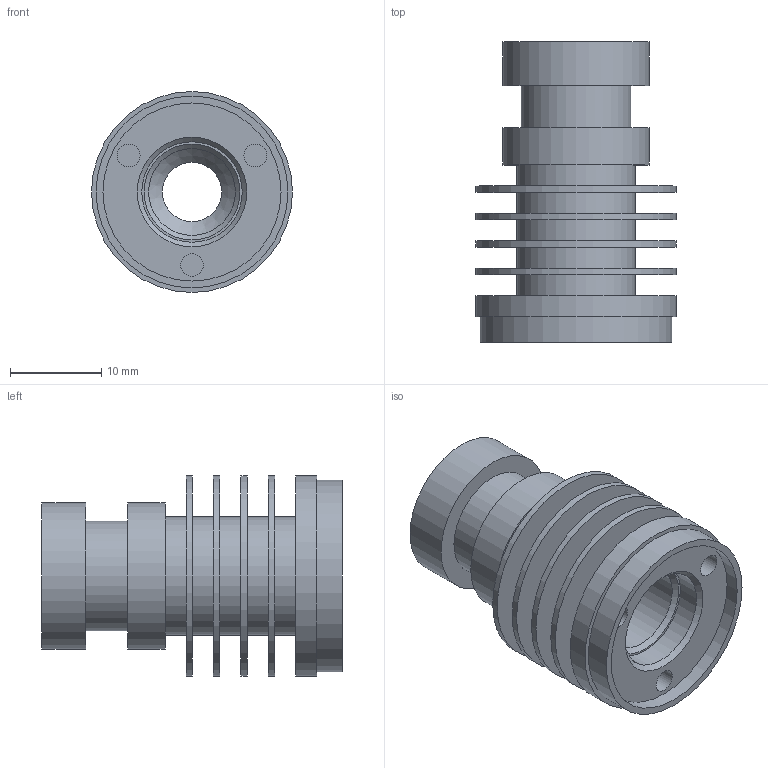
import cadquery as cq
import math


SPIGOT_DIAMETER = 21.0
FLANGE_DIAMETER = 22.0
CORE_DIAMETER = 13.0
COLLAR_DIAMETER = 16.0
NECK_DIAMETER = 12.0

SPIGOT_LENGTH = 2.8
FLANGE_LENGTH = 2.3
FIN_COUNT = 4
FIN_THICKNESS = 0.7
FIN_GAP = 2.3
COLLAR_LENGTH = 4.1
NECK_LENGTH = 4.6
HEAD_LENGTH = 4.8

RECESS_DIAMETER = 19.5
RECESS_DEPTH = 1.55
MOUTH_DIAMETER = 12.0
COUNTERBORE_DIAMETER = 11.0
COUNTERBORE_DEPTH = 3.0
SEAT_DIAMETER = 10.5
MAIN_BORE_DIAMETER = 9.5
THROUGH_BORE_DIAMETER = 6.5

HOLE_COUNT = 3
HOLE_DIAMETER = 2.5
HOLE_CIRCLE_RADIUS = 8.0
FIRST_HOLE_ANGLE = -90.0

FLANGE_BACK = SPIGOT_LENGTH + FLANGE_LENGTH
FIN_PITCH = FIN_THICKNESS + FIN_GAP
COLLAR_FRONT = FLANGE_BACK + FIN_COUNT * FIN_PITCH + FIN_GAP
NECK_FRONT = COLLAR_FRONT + COLLAR_LENGTH
HEAD_FRONT = NECK_FRONT + NECK_LENGTH
TOTAL_LENGTH = HEAD_FRONT + HEAD_LENGTH
COUNTERBORE_FLOOR = RECESS_DEPTH + COUNTERBORE_DEPTH
MAIN_BORE_END = NECK_FRONT


def cylinder(diameter, start, end, x=0.0, z=0.0):
    """Cylinder parallel to Y between two stations."""
    return cq.Workplane(
        cq.Solid.makeCylinder(diameter / 2, end - start, cq.Vector(x, start, z), cq.Vector(0, 1, 0))
    )


def cone(large_diameter, small_diameter, start):
    """45 degree cone on the Y axis, narrowing towards +Y."""
    length = (large_diameter - small_diameter) / 2
    return cq.Workplane(
        cq.Solid.makeCone(
            large_diameter / 2, small_diameter / 2, length, cq.Vector(0, start, 0), cq.Vector(0, 1, 0)
        )
    )


def outer_body():
    body = cylinder(CORE_DIAMETER, 0, COLLAR_FRONT)
    body = body.union(cylinder(SPIGOT_DIAMETER, 0, SPIGOT_LENGTH))
    body = body.union(cylinder(FLANGE_DIAMETER, SPIGOT_LENGTH, FLANGE_BACK))
    for index in range(FIN_COUNT):
        fin_front = FLANGE_BACK + FIN_GAP + index * FIN_PITCH
        body = body.union(cylinder(FLANGE_DIAMETER, fin_front, fin_front + FIN_THICKNESS))
    body = body.union(cylinder(COLLAR_DIAMETER, COLLAR_FRONT, NECK_FRONT))
    body = body.union(cylinder(NECK_DIAMETER, NECK_FRONT, HEAD_FRONT))
    return body.union(cylinder(COLLAR_DIAMETER, HEAD_FRONT, TOTAL_LENGTH))


def cut_bore(body):
    body = body.cut(cylinder(RECESS_DIAMETER, 0, RECESS_DEPTH))
    body = body.cut(cone(MOUTH_DIAMETER, COUNTERBORE_DIAMETER, RECESS_DEPTH))
    body = body.cut(cylinder(COUNTERBORE_DIAMETER, RECESS_DEPTH, COUNTERBORE_FLOOR))
    body = body.cut(cone(SEAT_DIAMETER, MAIN_BORE_DIAMETER, COUNTERBORE_FLOOR))
    body = body.cut(cylinder(MAIN_BORE_DIAMETER, COUNTERBORE_FLOOR, MAIN_BORE_END))
    body = body.cut(cone(MAIN_BORE_DIAMETER, THROUGH_BORE_DIAMETER, MAIN_BORE_END))
    return body.cut(cylinder(THROUGH_BORE_DIAMETER, MAIN_BORE_END, TOTAL_LENGTH))


def cut_screw_holes(body):
    """Holes from the recess floor through to the back of the flange."""
    for index in range(HOLE_COUNT):
        angle = math.radians(FIRST_HOLE_ANGLE + index * 360 / HOLE_COUNT)
        x = HOLE_CIRCLE_RADIUS * math.cos(angle)
        z = HOLE_CIRCLE_RADIUS * math.sin(angle)
        body = body.cut(cylinder(HOLE_DIAMETER, RECESS_DEPTH, FLANGE_BACK, x, z))
    return body


result = cut_screw_holes(cut_bore(outer_body()))